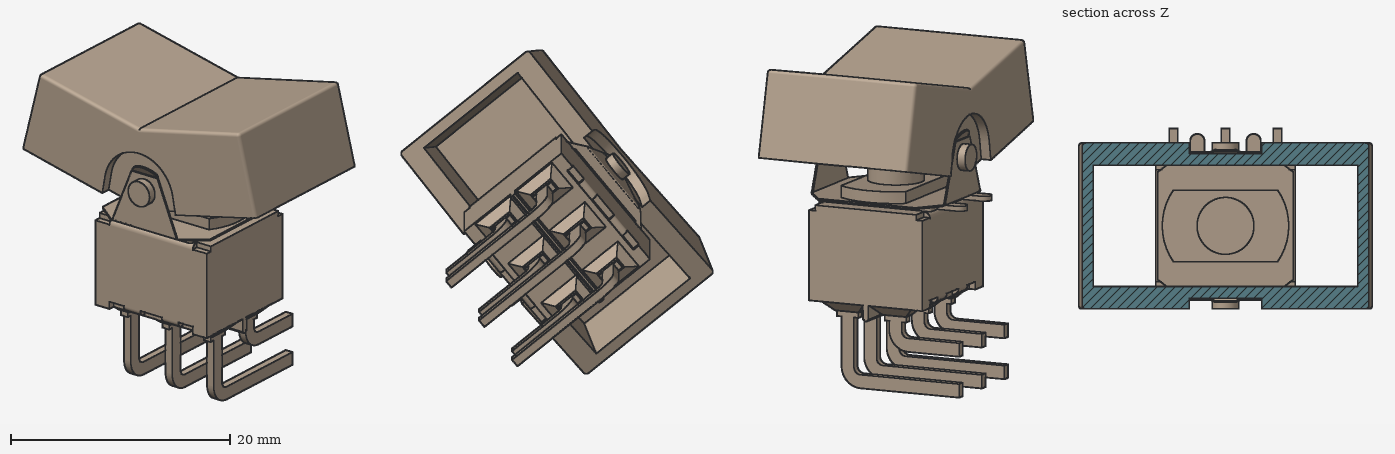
import cadquery as cq
import math


cap_depth = 15.17
cap_length = 26.8
cap_low_x = cap_length / 2
cap_low_z = 22.4
cap_high_x = 11.42
cap_high_z = 30.27
cap_valley_z = 27.75
cap_keel_z = 19.35
cap_end_wall = 1.03
cap_side_wall = 2.05
cap_round = 0.33

arch_center_z = 21.42
arch_radius = 3.93
arch_flare = math.radians(10)

body_length = 12.75
body_depth = 11.48
core_depth = 10.2
body_bottom_z = 8.0
body_top_z = 16.92
cheek_top_z = 16.4
cover_length = 9.52
cover_bottom_z = 8.73
cover_round = 0.6
fold_width = 1.9
fold_x = 2.18
fold_drop = 0.57
fold_round = 0.55

lock_width = 9.12
lock_thickness = 0.45
lock_corner = 0.33
key_spacing = 5.15
key_width = 1.33
key_tip_y = 8.4

sheet = 0.15
frame_depth = 13.53
frame_top_z = body_top_z + lock_thickness + sheet
bend_round = 0.25
frame_half_x = 6.15
frame_half_y = 4.92
ear_base_half_x = 3.75
ear_top_half_x = 1.48
ear_top_z = 22.95
lip_angle = 32
lip_length = 0.95
lip_radius = 1.7
pivot_diameter = 2.45
pivot_z = 21.3

plunger_diameter = 5.2
plunger_top_z = 22.0
collar_diameter = 11.55
collar_width = 6.53
collar_top_z = 18.6

blade_thickness = 0.55
blade_bottom_z = 6.53
blade_chamfer = 0.2

terminal_pitch = 4.75
row_y = 2.42
terminal_width = 0.8
terminal_thickness = 1.27
terminal_end_y = 8.88
bend_inner_radius = 0.65
back_row_z = 3.8
shoulder_depth = 2.18
potting_length = 3.02
potting_depth = 4.23
potting_height = 0.95

arch_depth = (cap_depth - frame_depth) / 2 + sheet


def block(length, depth, bottom_z, top_z, x=0, y=0):
    """Upright box centred on (x, y) between two heights."""
    return (
        cq.Workplane("XY", origin=(x, y, bottom_z))
        .rect(length, depth)
        .extrude(top_z - bottom_z)
    )


def both_sides(solid):
    """The solid joined with its mirror image in the Y = 0 plane."""
    return solid.union(solid.mirror("XZ"))


def make_cavity():
    """Open hollow of the cap, with its roof and ends one wall inside the outside."""
    end_lean = (cap_low_x - cap_high_x) / (cap_high_z - cap_low_z)
    top_slope = (cap_high_z - cap_valley_z) / cap_high_x
    wall_x = cap_end_wall * math.hypot(1, end_lean)
    roof_z = cap_valley_z - cap_end_wall * math.hypot(1, top_slope)
    inner_x = cap_low_x - wall_x
    corner_z = (roof_z + top_slope * (inner_x + end_lean * cap_low_z)) / (1 + top_slope * end_lean)
    corner_x = inner_x - end_lean * (corner_z - cap_low_z)
    floor_x = inner_x + end_lean * (cap_low_z - cap_keel_z)
    depth = cap_depth - 2 * cap_side_wall
    return (
        cq.Workplane("XZ", origin=(0, depth / 2, 0))
        .moveTo(-floor_x, cap_keel_z)
        .lineTo(-corner_x, corner_z)
        .lineTo(0, roof_z)
        .lineTo(corner_x, corner_z)
        .lineTo(floor_x, cap_keel_z)
        .close()
        .extrude(depth)
    )


def make_arch():
    """Recess for the pivot ear, cut into the -Y side of the cap."""
    tangent_x = arch_radius * math.cos(arch_flare)
    tangent_z = arch_center_z + arch_radius * math.sin(arch_flare)
    foot_x = tangent_x + math.tan(arch_flare) * (tangent_z - cap_keel_z)
    return (
        cq.Workplane("XZ", origin=(0, -cap_depth / 2 + arch_depth, 0))
        .moveTo(-foot_x, cap_keel_z)
        .lineTo(-tangent_x, tangent_z)
        .threePointArc((0, arch_center_z + arch_radius), (tangent_x, tangent_z))
        .lineTo(foot_x, cap_keel_z)
        .close()
        .extrude(arch_depth)
    )


def make_cap():
    cap = (
        cq.Workplane("XZ", origin=(0, cap_depth / 2, 0))
        .moveTo(-cap_low_x, cap_low_z)
        .lineTo(-cap_high_x, cap_high_z)
        .lineTo(0, cap_valley_z)
        .lineTo(cap_high_x, cap_high_z)
        .lineTo(cap_low_x, cap_low_z)
        .lineTo(0, cap_keel_z)
        .close()
        .extrude(cap_depth)
    )
    margin = cap_round
    upper_edges = cq.selectors.BoxSelector(
        (-cap_low_x, -cap_depth, cap_low_z + margin),
        (cap_low_x, cap_depth, cap_high_z + margin),
    )
    valley = cq.selectors.BoxSelector(
        (-margin, -margin, cap_valley_z - margin), (margin, margin, cap_valley_z + margin)
    )
    cap = cap.edges(upper_edges - valley).fillet(cap_round)
    return cap.cut(make_cavity()).cut(both_sides(make_arch()))


def make_ear():
    """Upright ear of the frame at -Y, with its flared lip and pivot pin."""
    inner_y = -frame_depth / 2 + sheet
    plate = (
        cq.Workplane("XZ", origin=(0, inner_y, 0))
        .moveTo(-ear_base_half_x, frame_top_z - sheet)
        .lineTo(-ear_top_half_x, ear_top_z)
        .lineTo(ear_top_half_x, ear_top_z)
        .lineTo(ear_base_half_x, frame_top_z - sheet)
        .close()
        .extrude(sheet)
    )
    lip_disc = (
        cq.Workplane("XY", origin=(0, lip_length - lip_radius, 0))
        .circle(lip_radius)
        .extrude(-sheet)
    )
    lip_strip = (
        cq.Workplane("XY", origin=(0, lip_length / 2, 0))
        .rect(2 * ear_top_half_x, lip_length)
        .extrude(-sheet)
    )
    lip = (
        lip_disc.intersect(lip_strip)
        .rotate((0, 0, 0), (1, 0, 0), 90 + lip_angle)
        .translate((0, inner_y, ear_top_z))
    )
    pin = (
        cq.Workplane("XZ", origin=(0, inner_y, pivot_z))
        .circle(pivot_diameter / 2)
        .extrude(arch_depth)
    )
    return plate.union(lip).union(pin)


def make_frame():
    half_depth = frame_depth / 2
    base = (
        cq.Workplane("XY", origin=(0, 0, frame_top_z - sheet))
        .moveTo(-ear_base_half_x, -half_depth)
        .lineTo(ear_base_half_x, -half_depth)
        .lineTo(frame_half_x, -frame_half_y)
        .lineTo(frame_half_x, frame_half_y)
        .lineTo(ear_base_half_x, half_depth)
        .lineTo(-ear_base_half_x, half_depth)
        .lineTo(-frame_half_x, frame_half_y)
        .lineTo(-frame_half_x, -frame_half_y)
        .close()
        .extrude(sheet)
    )
    frame = base.union(both_sides(make_ear()))
    for y in (-half_depth, half_depth):
        fold = cq.selectors.NearestToPointSelector((0, y, frame_top_z - sheet))
        frame = frame.edges(fold).fillet(bend_round)
    return frame


def make_plunger():
    collar_base = cq.Workplane("XY", origin=(0, 0, frame_top_z))
    collar = collar_base.circle(collar_diameter / 2).extrude(collar_top_z - frame_top_z)
    collar = collar.intersect(block(collar_diameter, collar_width, frame_top_z, collar_top_z))
    plunger = collar_base.circle(plunger_diameter / 2).extrude(plunger_top_z - frame_top_z)
    return collar.union(plunger)


def make_lock_plate():
    top_z = body_top_z + lock_thickness
    plate = block(lock_width, body_depth, body_top_z, top_z).edges("|Z").fillet(lock_corner)
    key_round_y = key_tip_y - key_width / 2
    for x in (-key_spacing / 2, key_spacing / 2):
        plate = plate.union(block(key_width, key_round_y, body_top_z, top_z, x, key_round_y / 2))
        plate = plate.union(
            cq.Workplane("XY", origin=(x, key_round_y, body_top_z))
            .circle(key_width / 2)
            .extrude(lock_thickness)
        )
    return plate


def make_body():
    core = block(body_length, core_depth, body_bottom_z, body_top_z)
    cheeks = block(body_length, body_depth, body_bottom_z, cheek_top_z)
    cheeks = cheeks.cut(block(cover_length, body_depth, body_bottom_z, cheek_top_z))
    cover = block(cover_length, body_depth, cover_bottom_z, body_top_z)
    cover = cover.edges(">Z and |X").fillet(cover_round)
    body = core.union(cheeks).union(cover)
    for x in (-fold_x, fold_x):
        folds = block(fold_width, body_depth, cover_bottom_z - fold_drop, cover_bottom_z, x)
        body = body.union(folds.edges("<Z and |X").fillet(fold_round))
    return body


def make_blade():
    blade = block(body_length, blade_thickness, blade_bottom_z, body_bottom_z)
    return blade.edges("<Z and |X").chamfer(blade_chamfer)


def make_terminal(x, y, lower_z):
    """Potted terminal at (x, y), bent toward +Y with its lower face at lower_z."""
    potting_z = body_bottom_z - potting_height
    potting = (
        cq.Workplane("XY", origin=(x, y, body_bottom_z))
        .rect(potting_length, potting_depth)
        .workplane(offset=-potting_height)
        .rect(potting_length - 2 * potting_height, potting_depth - 2 * potting_height)
        .loft(ruled=True)
    )
    shoulder = block(terminal_width, shoulder_depth, blade_bottom_z, potting_z, x, y)
    outer_y = y - terminal_thickness / 2
    inner_y = y + terminal_thickness / 2
    upper_z = lower_z + terminal_thickness
    bend_outer_radius = bend_inner_radius + terminal_thickness
    leg = (
        cq.Workplane("YZ", origin=(x - terminal_width / 2, 0, 0))
        .moveTo(outer_y, potting_z)
        .lineTo(outer_y, lower_z + bend_outer_radius)
        .radiusArc((outer_y + bend_outer_radius, lower_z), -bend_outer_radius)
        .lineTo(terminal_end_y, lower_z)
        .lineTo(terminal_end_y, upper_z)
        .lineTo(inner_y + bend_inner_radius, upper_z)
        .radiusArc((inner_y, upper_z + bend_inner_radius), bend_inner_radius)
        .lineTo(inner_y, potting_z)
        .close()
        .extrude(terminal_width)
    )
    return potting.union(shoulder).union(leg)


result = make_body().union(make_blade()).union(make_lock_plate())
result = result.union(make_frame()).union(make_plunger()).union(make_cap())
for terminal_x in (-terminal_pitch, 0, terminal_pitch):
    result = result.union(make_terminal(terminal_x, -row_y, 0))
    result = result.union(make_terminal(terminal_x, row_y, back_row_z))